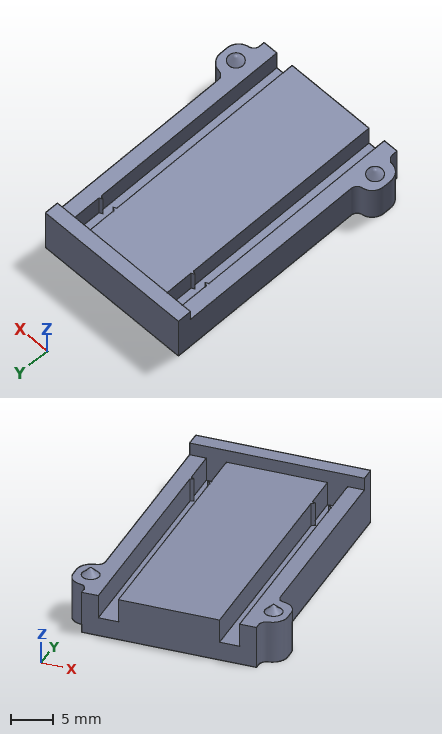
import cadquery as cq
import math

length = 36.1
body_width = 22.0
base_height = 5.4

total_height = 7.0
stop_thickness = 2.0

slot_pitch = 15.25
slot_width = 2.53
slot_depth = 3.0
slot_length = length - stop_thickness

ridge_depth = 0.45
ridge_width = 0.45
ridge_y = length - 6.93

overall_width = 27.0
lug_y = 4.15
lug_flat = 1.12
lug_radius = 1.9
lug_fillet = 0.97
pin_pitch = 23.0
pin_diameter = 2.2
pin_height = 1.0


def point_on_arc(center, radius, angle):
    """Point on a circle, with the angle in radians from +X."""
    return (center[0] + radius * math.cos(angle), center[1] + radius * math.sin(angle))


def make_lug():
    """Right-hand lug: a flat tip, two round corners and two fillets that blend into the body side."""
    side_x = body_width / 2
    tip_x = overall_width / 2
    corner = (tip_x - lug_radius, lug_flat / 2)
    fillet_x = side_x + lug_fillet
    center_distance = lug_radius + lug_fillet
    blend_angle = math.acos((fillet_x - corner[0]) / center_distance)
    fillet = (fillet_x, corner[1] + center_distance * math.sin(blend_angle))

    blend = point_on_arc(corner, lug_radius, blend_angle)
    corner_middle = point_on_arc(corner, lug_radius, blend_angle / 2)
    fillet_middle = point_on_arc(fillet, lug_fillet, math.pi + blend_angle / 2)

    def mirrored(point):
        return (point[0], -point[1])

    inner_x = (side_x + slot_pitch / 2 + slot_width / 2) / 2
    outline = (
        cq.Workplane("XY", origin=(0, lug_y, 0))
        .moveTo(inner_x, -fillet[1])
        .lineTo(side_x, -fillet[1])
        .threePointArc(mirrored(fillet_middle), mirrored(blend))
        .threePointArc(mirrored(corner_middle), (tip_x, -corner[1]))
        .lineTo(tip_x, corner[1])
        .threePointArc(corner_middle, blend)
        .threePointArc(fillet_middle, (side_x, fillet[1]))
        .lineTo(inner_x, fillet[1])
        .close()
    )
    return outline.extrude(base_height)


def make_pin():
    """Right-hand cone standing on top of the lug."""
    cone = cq.Solid.makeCone(pin_diameter / 2, 0, pin_height)
    return cq.Workplane(cone.translate(cq.Vector(pin_pitch / 2, lug_y, base_height)))


def make_slot(center_x):
    """Slot volume to remove, already notched where the two facing ridges remain."""
    slot = (
        cq.Workplane("XY", origin=(center_x, 0, base_height - slot_depth))
        .rect(slot_width, 2 * slot_length)
        .extrude(slot_depth)
    )
    for side in (-1, 1):
        wall_x = side * slot_width / 2
        ridge = (
            cq.Workplane("XY", origin=(center_x, ridge_y, base_height - slot_depth))
            .polyline([
                (wall_x, -ridge_width / 2),
                (wall_x - side * ridge_depth, 0),
                (wall_x, ridge_width / 2),
            ])
            .close()
            .extrude(slot_depth)
        )
        slot = slot.cut(ridge)
    return slot


base = cq.Workplane("XY").box(body_width, length, base_height, centered=(True, False, False))
stop_bar = (
    cq.Workplane("XY", origin=(0, slot_length, 0))
    .box(body_width, stop_thickness, total_height, centered=(True, False, False))
)
result = base.union(stop_bar)

lug = make_lug()
result = result.union(lug).union(lug.mirror("YZ"))

for slot_x in (-slot_pitch / 2, slot_pitch / 2):
    result = result.cut(make_slot(slot_x))

pin = make_pin()
result = result.union(pin).union(pin.mirror("YZ"))